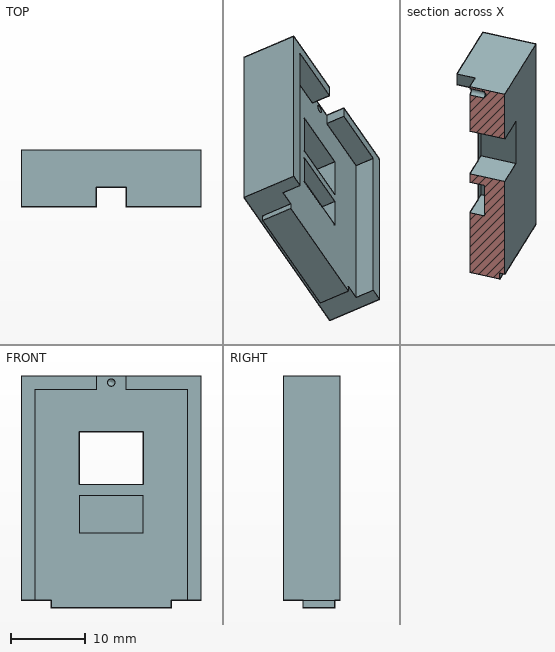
import cadquery as cq
import math

width = 24.0
depth = 7.6
total_height = 31.0
tab_height = 1.0
body_height = total_height - tab_height

rim = 1.8
recess_depth = 2.6

notch_width = 4.0
hole_diameter = 1.0
hole_depth = 2.0
hole_drop = 0.9
drill_point_angle = 118

tab_width = 16.1
tab_back_setback = 0.7

opening_width = 8.5
window_height = 7.0
window_drop = 7.5
pocket_height = 5.0
pocket_drop = 16.0
pocket_depth = 2.0


def box_below_top(size_x, front, size_y, drop, size_z):
    """Box centred on X, starting at Y = front, its top lying `drop` below the part's top."""
    bottom = total_height - drop - size_z
    return cq.Workplane("XY").box(size_x, size_y, size_z, centered=(True, False, False)).translate(
        (0, front, bottom)
    )


body = box_below_top(width, 0, depth, 0, body_height)

recess = box_below_top(width - 2 * rim, 0, recess_depth, rim, body_height - rim)
notch = box_below_top(notch_width, 0, recess_depth, 0, rim)

tab_thickness = depth - recess_depth - tab_back_setback
tab = box_below_top(tab_width, recess_depth, tab_thickness, body_height, tab_height)

window = box_below_top(opening_width, 0, depth, window_drop, window_height)
pocket = box_below_top(opening_width, recess_depth, pocket_depth, pocket_drop, pocket_height)

hole_radius = hole_diameter / 2
point_length = hole_radius / math.tan(math.radians(drill_point_angle / 2))
hole = (
    cq.Workplane("XY", origin=(0, recess_depth, total_height - hole_drop))
    .polyline([(0, 0), (hole_radius, 0), (hole_radius, hole_depth), (0, hole_depth + point_length)])
    .close()
    .revolve(360, (0, 0), (0, 1))
)

result = body.cut(recess).cut(notch).union(tab).cut(window).cut(pocket).cut(hole)